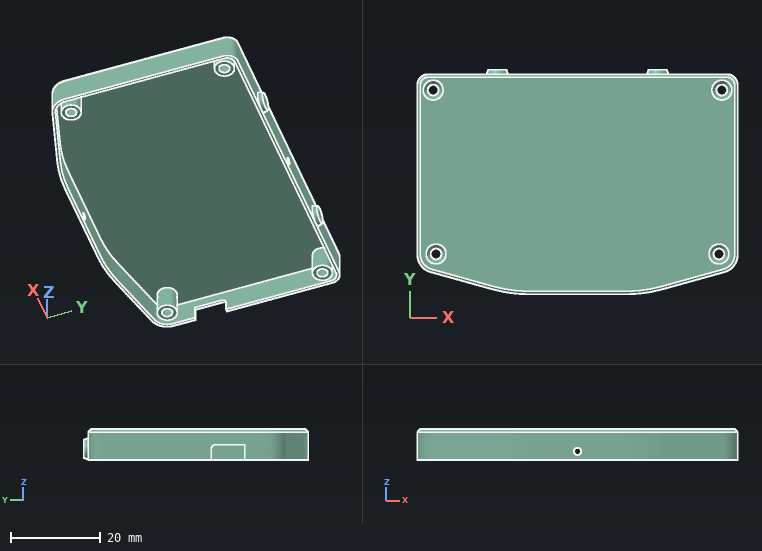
import cadquery as cq
import math

width = 71.85
depth = 49.35
height = 7.0
wall = 0.7
roof = 1.0
top_chamfer = 0.7

nose_half_width = 15.0
taper_depth = 5.8
back_corner_radius = 2.5
front_corner_radius = 4.2
nose_radius = 30.2
corner_search = 0.7

screw_diameter = 2.4
countersink_diameter = 4.45
countersink_angle = 90.0
post_diameter = 4.45
back_screw_inset = 3.6
front_screw_side_inset = 4.25
front_screw_y = 9.05

pin_hole_diameter = 1.6
pin_hole_z = 1.95

notch_front_y = 14.3
notch_length = 7.5
notch_height = 3.45
notch_corner_radius = 1.0

knob_spacing = 35.9
knob_z = 2.5
knob_base_diameter = 4.8
knob_tip_diameter = 4.1
knob_height = 1.0

half_width = width / 2
screw_points = [
    (side * (half_width - inset), y)
    for side in (-1, 1)
    for inset, y in (
        (back_screw_inset, depth - back_screw_inset),
        (front_screw_side_inset, front_screw_y),
    )
]


def make_block():
    """Solid block with the housing outline, front of the nose at Y = 0."""
    block = (
        cq.Workplane("XY")
        .polyline([
            (-nose_half_width, 0),
            (nose_half_width, 0),
            (half_width, taper_depth),
            (half_width, depth),
            (-half_width, depth),
            (-half_width, taper_depth),
        ])
        .close()
        .extrude(height)
    )
    for y, radius in (
        (depth, back_corner_radius),
        (taper_depth, front_corner_radius),
        (0, nose_radius),
    ):
        corners = cq.selectors.BoxSelector(
            (-width, y - corner_search, 0),
            (width, y + corner_search, height),
        )
        block = block.edges("|Z").edges(corners).fillet(radius)
    return block


def make_shell(block):
    """Chamfer the top rim and hollow the block from below."""
    cavity_outline = block.faces("<Z").wires().toPending().workplane().offset2D(-wall)
    cavity = cavity_outline.extrude(-(height - roof), combine=False)
    return block.faces(">Z").edges().chamfer(top_chamfer).cut(cavity)


def add_knobs(body):
    draft = math.degrees(math.atan2((knob_base_diameter - knob_tip_diameter) / 2, knob_height))
    knobs = (
        cq.Workplane("XZ", origin=(0, depth, knob_z))
        .pushPoints([(-knob_spacing / 2, 0), (knob_spacing / 2, 0)])
        .circle(knob_base_diameter / 2)
        .extrude(-knob_height, taper=draft)
    )
    return body.union(knobs)


def add_screw_holes(body):
    posts = cq.Workplane("XY").pushPoints(screw_points).circle(post_diameter / 2).extrude(height - roof)
    return (
        body.union(posts)
        .faces(">Z")
        .workplane(origin=(0, 0, height))
        .pushPoints(screw_points)
        .cskHole(screw_diameter, countersink_diameter, countersink_angle)
    )


def cut_pin_hole(body):
    drill = (
        cq.Workplane("XZ", origin=(0, 0, pin_hole_z))
        .circle(pin_hole_diameter / 2)
        .extrude(-depth)
    )
    return body.cut(drill)


def cut_notch(body):
    notch = (
        cq.Workplane("XY")
        .box(wall, notch_length, notch_height, centered=False)
        .edges("|X and >Y and >Z")
        .fillet(notch_corner_radius)
        .translate((-half_width, notch_front_y, 0))
    )
    return body.cut(notch)


housing = make_shell(make_block())
housing = add_knobs(housing)
housing = add_screw_holes(housing)
housing = cut_pin_hole(housing)
result = cut_notch(housing)